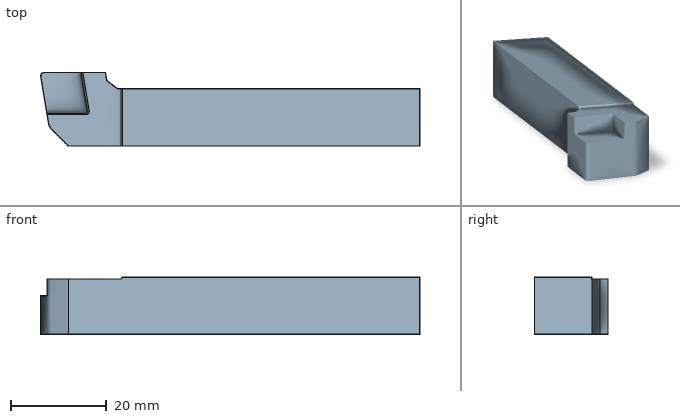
import cadquery as cq
import math


overall_length = 79.15
shank_size = 12.0

head_width = 15.41
head_height = 11.6
head_length = 16.8
step_run = 0.25
lead_angle = 9.5
tip_radius = 0.8
heel_chamfer_end = 5.8
heel_radius = 2.2
neck_x = 13.55
neck_depth = 1.75
neck_end = 16.1

pocket_depth = 3.5
pocket_length = 8.95
pocket_width = 8.8
rim_corner_radius = 0.65
floor_corner_radius = 0.45
side_draft = 7.0
seat_draft = 3.0
open_margin = 5.0

lead_slope = math.tan(math.radians(lead_angle))
lead_cosine = math.cos(math.radians(lead_angle))

tip_corner_x = tip_radius * (1 - lead_slope - 1 / lead_cosine)


def lead_edge_x(y):
    """X of the slanted lead edge at position y across the head."""
    return tip_corner_x + (head_width - y) * lead_slope


def make_head():
    """Head with a slanted lead edge, a 45 degree heel and a narrowing neck."""
    heel_y = (heel_chamfer_end - lead_edge_x(0)) / (1 - lead_slope)
    head = (
        cq.Workplane("XY")
        .moveTo(heel_chamfer_end, 0)
        .lineTo(head_length, 0)
        .lineTo(head_length, shank_size)
        .lineTo(neck_end, shank_size)
        .lineTo(neck_x + neck_depth * lead_slope, head_width - neck_depth)
        .lineTo(neck_x, head_width)
        .lineTo(tip_corner_x, head_width)
        .lineTo(lead_edge_x(heel_y), heel_y)
        .close()
        .extrude(head_height)
    )
    tip_edge = cq.selectors.NearestToPointSelector((tip_corner_x, head_width, head_height / 2))
    heel_edge = cq.selectors.NearestToPointSelector((lead_edge_x(heel_y), heel_y, head_height / 2))
    head = head.edges(tip_edge).fillet(tip_radius)
    return head.edges(heel_edge).fillet(heel_radius)


def make_shank():
    """Square bar that stands slightly above the head, with a sloped step down to it."""
    return (
        cq.Workplane("XZ")
        .moveTo(head_length, 0)
        .lineTo(overall_length, 0)
        .lineTo(overall_length, shank_size)
        .lineTo(head_length + step_run, shank_size)
        .lineTo(head_length, head_height)
        .close()
        .extrude(-shank_size)
    )


def pocket_outline(z, side_inset, seat_inset, corner_radius):
    """Closed pocket outline at height z, with its walls moved in by the given insets.

    The outline runs past the lead and front edges so that the pocket is open there.
    """
    seat_y = head_width - pocket_width + seat_inset
    outer_y = head_width + open_margin

    def side_wall_x(y):
        return lead_edge_x(y) + pocket_length - side_inset / lead_cosine

    corner_x = side_wall_x(seat_y)
    corner_angle = math.radians(90 - lead_angle)
    setback = corner_radius / math.tan(corner_angle / 2)
    mid_distance = corner_radius / math.sin(corner_angle / 2) - corner_radius
    mid_point = (
        corner_x - mid_distance * math.cos(corner_angle / 2),
        seat_y + mid_distance * math.sin(corner_angle / 2),
    )
    side_tangent_y = seat_y + setback * lead_cosine
    return (
        cq.Workplane("XY", origin=(0, 0, z))
        .moveTo(-open_margin, seat_y)
        .lineTo(corner_x - setback, seat_y)
        .threePointArc(mid_point, (side_wall_x(side_tangent_y), side_tangent_y))
        .lineTo(side_wall_x(outer_y), outer_y)
        .lineTo(-open_margin, outer_y)
        .close()
        .wire()
        .val()
    )


def make_pocket():
    """Insert pocket with drafted walls and a rounded inner corner."""
    side_inset = pocket_depth * math.tan(math.radians(side_draft))
    seat_inset = pocket_depth * math.tan(math.radians(seat_draft))
    floor = pocket_outline(head_height - pocket_depth, side_inset, seat_inset, floor_corner_radius)
    rim = pocket_outline(head_height, 0, 0, rim_corner_radius)
    return cq.Workplane(cq.Solid.makeLoft([floor, rim], True))


result = make_head().union(make_shank()).cut(make_pocket())